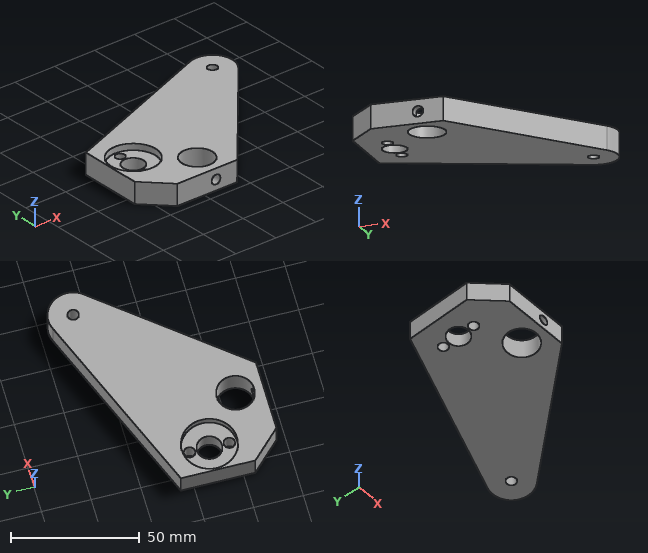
import cadquery as cq
import math

length = 91.0
width = 73.0
thickness = 10.0
tip_radius = 10.0
left_edge_top = 41.8
corner_cut_x = 11.8
corner_cut_y = 11.7
bottom_edge_end = 41.9
tip_center = (length - tip_radius, width - tip_radius)

tip_hole_diameter = 4.5
clamp_bore_diameter = 15.0
clamp_bore_center = (31.0, 11.3)
set_screw_diameter = 4.4
set_screw_x = 31.3
recess_diameter = 22.2
recess_depth = 3.0
recess_center = (corner_cut_x, 27.0)
shaft_diameter = 10.0
screw_hole_diameter = 4.5
screw_hole_offset = 8.0


def tangent_point(corner, side):
    """Point on the tip circle touched by a line from corner; side is +1 or -1."""
    dx = corner[0] - tip_center[0]
    dy = corner[1] - tip_center[1]
    angle = math.atan2(dy, dx) + side * math.acos(tip_radius / math.hypot(dx, dy))
    return (
        tip_center[0] + tip_radius * math.cos(angle),
        tip_center[1] + tip_radius * math.sin(angle),
    )


def make_plate():
    """Tapered plate with a rounded tip and one cut corner."""
    upper_corner = (0, left_edge_top)
    lower_corner = (bottom_edge_end, 0)
    tip_end = (length, tip_center[1])
    return (
        cq.Workplane("XY")
        .moveTo(*upper_corner)
        .lineTo(0, corner_cut_y)
        .lineTo(corner_cut_x, 0)
        .lineTo(*lower_corner)
        .lineTo(*tangent_point(lower_corner, 1))
        .threePointArc(tip_end, tangent_point(upper_corner, -1))
        .close()
        .extrude(thickness)
    )


def vertical_cylinder(center, diameter, bottom=0.0):
    """Cutter from the given height up to the top face."""
    return (
        cq.Workplane("XY", origin=(*center, bottom))
        .circle(diameter / 2)
        .extrude(thickness - bottom)
    )


def set_screw_cutter():
    """Cross hole from the bottom edge into the clamp bore."""
    return (
        cq.Workplane("XZ", origin=(set_screw_x, 0, thickness / 2))
        .circle(set_screw_diameter / 2)
        .extrude(-clamp_bore_center[1])
    )


result = make_plate()
result = result.cut(vertical_cylinder(tip_center, tip_hole_diameter))
result = result.cut(vertical_cylinder(clamp_bore_center, clamp_bore_diameter))
result = result.cut(set_screw_cutter())

result = result.cut(
    vertical_cylinder(recess_center, recess_diameter, thickness - recess_depth)
)
result = result.cut(vertical_cylinder(recess_center, shaft_diameter))
for side in (-1, 1):
    screw_center = (recess_center[0], recess_center[1] + side * screw_hole_offset)
    result = result.cut(vertical_cylinder(screw_center, screw_hole_diameter))